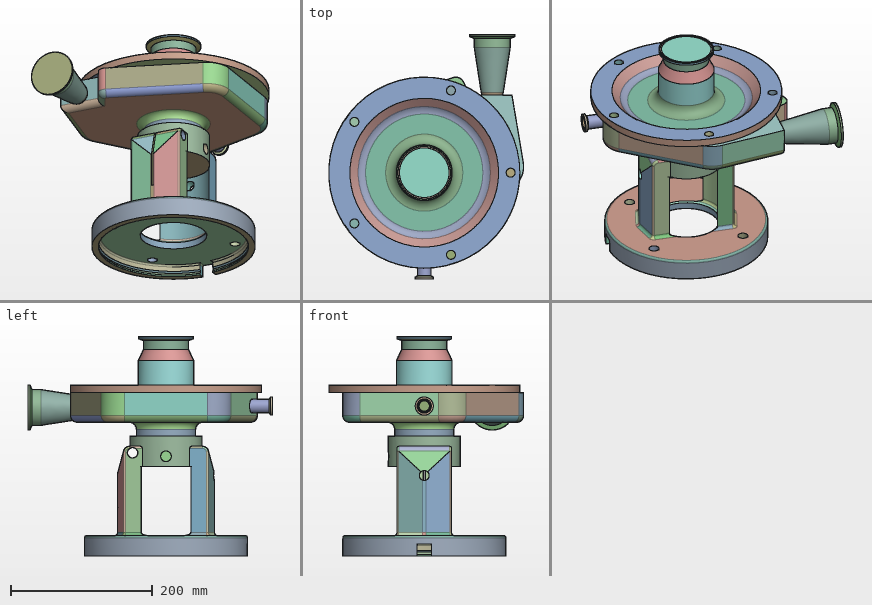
import cadquery as cq
import math

EDGE_REACH = 0.1

BASE_RADIUS = 115.3
BASE_HEIGHT = 29.0
BASE_EDGE_FILLET = 3.0
BASE_BORE_RADIUS = 47.0
BASE_BORE_CHAMFER = 2.0
BORE_CHAMFER_OVERCUT = 1.0
RECESS_RADIUS = 106.0
RECESS_DEPTH = 17.4
RECESS_FILLET = 2.4
RIM_GROOVE_DEPTH = 2.0
RIM_GROOVE_BOTTOM = 2.3
RIM_GROOVE_FLOOR = 5.8
RIM_GROOVE_TOP = 8.1
BASE_BOLT_COUNT = 4
BASE_BOLT_RADIUS = 92.0
BASE_BOLT_START_ANGLE = 45.0
BASE_HOLE_RADIUS = 7.0
NOTCH_WIDTH = 20.0
NOTCH_FILLET = 2.0
NOTCH_LENGTH = 20.0

LEG_HALF_WIDTH = 38.5
LEG_SHOULDER_Y = 59.5
LEG_RIDGE_Y = 68.5
LEG_RIDGE_HALF_WIDTH = 2.5
LEG_TOP = 155.3
LEG_INNER_RADIUS = 52.0
LEG_EDGE_FILLET = 3.0
LEG_TOP_FILLET = 9.0
LEG_FOOT_FILLET = 4.5
LEG_SLOPE_START_Z = 117.0
LEG_SLOPE_ANGLE = 15.0
RIDGE_HOLE_RADIUS = 7.0
RIDGE_HOLE_Z = 113.9
CLAMP_SLIT_WIDTH = 2.3
CLAMP_SLIT_BOTTOM = 69.0
CLAMP_HOLE_RADIUS = 7.2
CLAMP_HOLE_Y = 47.2
CLAMP_HOLE_Z = 146.0

COLLAR_RADIUS = 51.0
COLLAR_BOTTOM = 126.3
COLLAR_TOP = 169.5
COLLAR_HOLE_RADIUS = 7.5
COLLAR_HOLE_Z = 141.0
COLLAR_HOLE_DEPTH = 10.0
HUB_RADIUS = 42.0
HUB_FLARE = 10.0

HOUSING_BOTTOM = 189.0
HOUSING_APOTHEM = 115.2
HOUSING_SIDES = 5
HOUSING_CORNER_FILLET = 35.0
HOUSING_EDGE_FILLET = 9.5
BLOCK_FACE_Y = 109.5
BLOCK_OUTER_X = 124.0
BLOCK_INNER_X = 65.0
BLOCK_LUG_X = 50.5
BLOCK_LUG_FILLET = 12.0

FLANGE_RADIUS = 135.0
FLANGE_BOTTOM = 231.0
FLANGE_TOP = 241.5
FLANGE_HOLE_RADIUS = 6.3
FLANGE_BOLT_RADIUS = 122.0
DISH_RADIUS = 105.0
DISH_DEPTH = 16.0
DISH_FILLET = 15.0

NECK_RADIUS = 39.5
NECK_TOP = 276.0
INLET_RADIUS = 32.0
INLET_START = 292.0
INLET_FLANGE_RADIUS = 38.75
TOTAL_HEIGHT = 310.0
FERRULE_RIM = 3.0
FERRULE_TAPER = 2.8
INLET_GROOVE_RADIUS = 36.0
INLET_GROOVE_SIZE = 1.0

DISCHARGE_X = 96.0
DISCHARGE_Z = 210.0
DISCHARGE_END_Y = 195.0
DISCHARGE_FLANGE_RADIUS = 32.0
DISCHARGE_RADIUS = 25.5
DISCHARGE_STRAIGHT_Y = 176.5
DISCHARGE_ROOT_RADIUS = 14.5
DISCHARGE_CONE_SMALL_RADIUS = 15.7
DISCHARGE_CONE_Y = 113.0

DRAIN_Z = 212.0
DRAIN_END_Y = -150.5
DRAIN_ROOT_Y = -100.0
DRAIN_RADIUS = 9.7
DRAIN_BORE_RADIUS = 7.3
DRAIN_BORE_DEPTH = 25.0
DRAIN_FLANGE_RADIUS = 12.8
DRAIN_FLANGE_RIM = 3.0
DRAIN_FLANGE_TAPER = 2.0
DRAIN_GROOVE_RADIUS = 9.3
DRAIN_GROOVE_SIZE = 0.8


def disc(radius, bottom, top):
    """Solid cylinder on the Z axis."""
    return cq.Workplane("XY").workplane(offset=bottom).circle(radius).extrude(top - bottom)


def revolved(points):
    """Solid of revolution about Z from an outline of (radius, height) points."""
    return cq.Workplane("XZ").polyline(points).close().revolve(360, (0, 0, 0), (0, 1, 0))


def point_along_y(shape, sign, x, z):
    """Turn a Z-axis solid to point along +Y or -Y, on an axis through (x, z)."""
    return shape.rotate((0, 0, 0), (1, 0, 0), -90 * sign).translate((x, 0, z))


def make_base():
    base = disc(BASE_RADIUS, 0, BASE_HEIGHT).faces(">Z").edges().fillet(BASE_EDGE_FILLET)
    base = base.cut(disc(BASE_BORE_RADIUS, 0, BASE_HEIGHT))
    recess = disc(RECESS_RADIUS, 0, RECESS_DEPTH).faces(">Z").edges().fillet(RECESS_FILLET)
    base = base.cut(recess)
    groove_radius = RECESS_RADIUS + RIM_GROOVE_DEPTH
    base = base.cut(revolved([
        (0, RIM_GROOVE_BOTTOM),
        (RECESS_RADIUS, RIM_GROOVE_BOTTOM),
        (groove_radius, RIM_GROOVE_FLOOR),
        (RECESS_RADIUS, RIM_GROOVE_TOP),
        (0, RIM_GROOVE_TOP),
    ]))
    holes = (
        cq.Workplane("XY")
        .polarArray(BASE_BOLT_RADIUS, BASE_BOLT_START_ANGLE, 360, BASE_BOLT_COUNT)
        .circle(BASE_HOLE_RADIUS)
        .extrude(BASE_HEIGHT)
    )
    notch = (
        cq.Workplane("XY")
        .box(NOTCH_WIDTH, NOTCH_LENGTH, RECESS_DEPTH, centered=(True, False, False))
        .edges("|Y and >Z")
        .fillet(NOTCH_FILLET)
        .translate((0, -BASE_RADIUS, 0))
    )
    return base.cut(holes).cut(notch)


def make_leg():
    """The leg on the -Y side, from the base top up to beside the collar."""
    leg = (
        cq.Workplane("XY")
        .workplane(offset=BASE_HEIGHT)
        .moveTo(-LEG_HALF_WIDTH, 0)
        .lineTo(-LEG_HALF_WIDTH, -LEG_SHOULDER_Y)
        .lineTo(-LEG_RIDGE_HALF_WIDTH, -LEG_RIDGE_Y)
        .lineTo(LEG_RIDGE_HALF_WIDTH, -LEG_RIDGE_Y)
        .lineTo(LEG_HALF_WIDTH, -LEG_SHOULDER_Y)
        .lineTo(LEG_HALF_WIDTH, 0)
        .close()
        .extrude(LEG_TOP - BASE_HEIGHT)
    )

    shoulder_edges = cq.selectors.BoxSelector(
        (-LEG_HALF_WIDTH - EDGE_REACH, -LEG_SHOULDER_Y - EDGE_REACH, BASE_HEIGHT),
        (LEG_HALF_WIDTH + EDGE_REACH, -LEG_SHOULDER_Y + EDGE_REACH, LEG_TOP),
    )
    leg = leg.edges("|Z").edges(shoulder_edges).fillet(LEG_EDGE_FILLET)

    slope_run = (LEG_TOP - LEG_SLOPE_START_Z) * math.tan(math.radians(LEG_SLOPE_ANGLE))
    profile = (
        cq.Workplane("YZ")
        .moveTo(0, BASE_HEIGHT)
        .lineTo(0, LEG_TOP)
        .lineTo(slope_run - LEG_RIDGE_Y, LEG_TOP)
        .lineTo(-LEG_RIDGE_Y, LEG_SLOPE_START_Z)
        .lineTo(-LEG_RIDGE_Y, BASE_HEIGHT)
        .close()
        .extrude(LEG_HALF_WIDTH, both=True)
        .edges(cq.selectors.NearestToPointSelector((0, slope_run - LEG_RIDGE_Y, LEG_TOP)))
        .fillet(LEG_TOP_FILLET)
    )
    top_edges = cq.selectors.BoxSelector(
        (-LEG_HALF_WIDTH - EDGE_REACH, -LEG_RIDGE_Y - EDGE_REACH, LEG_SLOPE_START_Z + EDGE_REACH),
        (LEG_HALF_WIDTH + EDGE_REACH, -EDGE_REACH, LEG_TOP + EDGE_REACH),
    )
    profile = profile.edges("<X or >X").edges(top_edges).fillet(LEG_EDGE_FILLET)
    leg = leg.intersect(profile)
    return leg.cut(disc(LEG_INNER_RADIUS, 0, COLLAR_BOTTOM)).cut(disc(COLLAR_RADIUS, 0, LEG_TOP))


def add_leg_foot_fillets(body):
    """Round the inside corners where the legs stand on the base."""

    def edges_on_base_top(half_size):
        return cq.selectors.BoxSelector(
            (-half_size, -half_size, BASE_HEIGHT - EDGE_REACH),
            (half_size, half_size, BASE_HEIGHT + EDGE_REACH),
            boundingbox=True,
        )

    legs_and_bore = edges_on_base_top(LEG_RIDGE_Y + EDGE_REACH)
    bore_alone = edges_on_base_top(BASE_BORE_RADIUS + EDGE_REACH)
    return body.edges(legs_and_bore - bore_alone).fillet(LEG_FOOT_FILLET)


def make_stand():
    leg = make_leg()
    stand = make_base().union(leg).union(leg.mirror("XZ"))
    stand = add_leg_foot_fillets(stand)
    cone_height = BASE_BORE_CHAMFER + BORE_CHAMFER_OVERCUT
    cone_bottom = BASE_HEIGHT - BASE_BORE_CHAMFER
    stand = stand.cut(revolved([
        (0, cone_bottom),
        (BASE_BORE_RADIUS, cone_bottom),
        (BASE_BORE_RADIUS + cone_height, cone_bottom + cone_height),
        (0, cone_bottom + cone_height),
    ]))
    collar = disc(COLLAR_RADIUS, COLLAR_BOTTOM, COLLAR_TOP)
    return stand.union(collar)


def cut_stand_holes(body):
    ridge_hole = (
        cq.Workplane("XZ")
        .center(0, RIDGE_HOLE_Z)
        .circle(RIDGE_HOLE_RADIUS)
        .extrude(BASE_RADIUS)
    )
    clamp_hole = (
        cq.Workplane("YZ")
        .center(CLAMP_HOLE_Y, CLAMP_HOLE_Z)
        .circle(CLAMP_HOLE_RADIUS)
        .extrude(BASE_RADIUS, both=True)
    )
    slit = (
        cq.Workplane("XY")
        .box(CLAMP_SLIT_WIDTH, LEG_RIDGE_Y, LEG_TOP - CLAMP_SLIT_BOTTOM, centered=(True, False, False))
        .translate((0, COLLAR_RADIUS, CLAMP_SLIT_BOTTOM))
    )
    collar_hole = (
        cq.Workplane("YZ")
        .workplane(offset=-COLLAR_RADIUS)
        .center(0, COLLAR_HOLE_Z)
        .circle(COLLAR_HOLE_RADIUS)
        .extrude(COLLAR_HOLE_DEPTH)
    )
    return body.cut(ridge_hole).cut(clamp_hole).cut(slit).cut(collar_hole)


def make_housing():
    half_turn = math.pi / HOUSING_SIDES
    corner_radius = HOUSING_APOTHEM / math.cos(half_turn)

    def corner(index):
        angle = 2 * half_turn * index
        return (corner_radius * math.cos(angle), corner_radius * math.sin(angle))

    lug_y = corner(1)[1] + (BLOCK_LUG_X - corner(1)[0]) * math.tan(half_turn / 2)
    outline = [
        corner(0),
        (BLOCK_OUTER_X, BLOCK_FACE_Y),
        (BLOCK_INNER_X, BLOCK_FACE_Y),
        (BLOCK_LUG_X, lug_y),
        corner(2),
        corner(3),
        corner(4),
    ]
    housing = (
        cq.Workplane("XY")
        .workplane(offset=HOUSING_BOTTOM)
        .polyline(outline)
        .close()
        .extrude(FLANGE_BOTTOM - HOUSING_BOTTOM)
    )
    mid_height = (HOUSING_BOTTOM + FLANGE_BOTTOM) / 2
    for index in (0, 2, 3, 4):
        corner_edge = cq.selectors.NearestToPointSelector((*corner(index), mid_height))
        housing = housing.edges(corner_edge).fillet(HOUSING_CORNER_FILLET)
    lug_edge = cq.selectors.NearestToPointSelector((BLOCK_LUG_X, lug_y, mid_height))
    housing = housing.edges(lug_edge).fillet(BLOCK_LUG_FILLET)
    housing = housing.faces("<Z").edges().fillet(HOUSING_EDGE_FILLET)

    flare_start = HOUSING_BOTTOM - HUB_FLARE
    hub = (
        cq.Workplane("XZ")
        .moveTo(0, COLLAR_TOP)
        .lineTo(HUB_RADIUS, COLLAR_TOP)
        .lineTo(HUB_RADIUS, flare_start)
        .radiusArc((HUB_RADIUS + HUB_FLARE, HOUSING_BOTTOM), HUB_FLARE)
        .lineTo(0, HOUSING_BOTTOM)
        .close()
        .revolve(360, (0, 0, 0), (0, 1, 0))
    )
    return housing.union(hub)


def make_cover():
    """The drilled flange disc, and the ring-shaped dish to sink into it and the housing."""
    dish_floor = FLANGE_TOP - DISH_DEPTH
    cover = disc(FLANGE_RADIUS, FLANGE_BOTTOM, FLANGE_TOP)
    bolt_holes = (
        cq.Workplane("XY")
        .workplane(offset=FLANGE_BOTTOM)
        .polarArray(FLANGE_BOLT_RADIUS, 0, 360, HOUSING_SIDES)
        .circle(FLANGE_HOLE_RADIUS)
        .extrude(FLANGE_TOP - FLANGE_BOTTOM)
    )
    dish = revolved([
        (NECK_RADIUS, dish_floor),
        (DISH_RADIUS - DISH_DEPTH, dish_floor),
        (DISH_RADIUS, FLANGE_TOP),
        (NECK_RADIUS, FLANGE_TOP),
    ]).faces("<Z").edges().fillet(DISH_FILLET)
    return cover.cut(bolt_holes), dish


def ferrule_end(tube_radius, flange_radius, end, rim, taper):
    """Outline points of a clamp ferrule, from its tube up to its flat end."""
    return [
        (tube_radius, end - rim - taper),
        (flange_radius, end - rim),
        (flange_radius, end),
        (0, end),
    ]


def ferrule_groove(radius, size, end):
    """Ring of round section, centred on the flat end of a ferrule, that cuts its gasket groove."""
    section = cq.Workplane("XZ").moveTo(radius, end).circle(size)
    return section.revolve(360, (0, 0, 0), (0, 1, 0))


def make_inlet():
    inlet = revolved([
        (0, FLANGE_TOP - DISH_DEPTH),
        (NECK_RADIUS, FLANGE_TOP - DISH_DEPTH),
        (NECK_RADIUS, NECK_TOP),
        (INLET_RADIUS, INLET_START),
    ] + ferrule_end(INLET_RADIUS, INLET_FLANGE_RADIUS, TOTAL_HEIGHT, FERRULE_RIM, FERRULE_TAPER))
    return inlet.cut(ferrule_groove(INLET_GROOVE_RADIUS, INLET_GROOVE_SIZE, TOTAL_HEIGHT))


def make_discharge():
    nozzle = revolved([
        (0, BLOCK_FACE_Y),
        (DISCHARGE_ROOT_RADIUS, BLOCK_FACE_Y),
        (DISCHARGE_CONE_SMALL_RADIUS, DISCHARGE_CONE_Y),
        (DISCHARGE_RADIUS, DISCHARGE_STRAIGHT_Y),
    ] + ferrule_end(DISCHARGE_RADIUS, DISCHARGE_FLANGE_RADIUS, DISCHARGE_END_Y, FERRULE_RIM, FERRULE_TAPER))
    return point_along_y(nozzle, 1, DISCHARGE_X, DISCHARGE_Z)


def make_drain():
    """The drain nozzle, and the blind bore to cut in its end."""
    end = -DRAIN_END_Y
    nozzle = revolved([
        (0, -DRAIN_ROOT_Y),
        (DRAIN_RADIUS, -DRAIN_ROOT_Y),
    ] + ferrule_end(DRAIN_RADIUS, DRAIN_FLANGE_RADIUS, end, DRAIN_FLANGE_RIM, DRAIN_FLANGE_TAPER))
    nozzle = nozzle.cut(ferrule_groove(DRAIN_GROOVE_RADIUS, DRAIN_GROOVE_SIZE, end))
    bore = disc(DRAIN_BORE_RADIUS, end - DRAIN_BORE_DEPTH, end)
    return point_along_y(nozzle, -1, 0, DRAIN_Z), point_along_y(bore, -1, 0, DRAIN_Z)


stand = cut_stand_holes(make_stand())
cover, dish = make_cover()
drain, drain_bore = make_drain()
pump = make_housing().union(cover).cut(dish).union(make_inlet())
pump = pump.union(make_discharge()).union(drain).cut(drain_bore)
result = stand.union(pump)